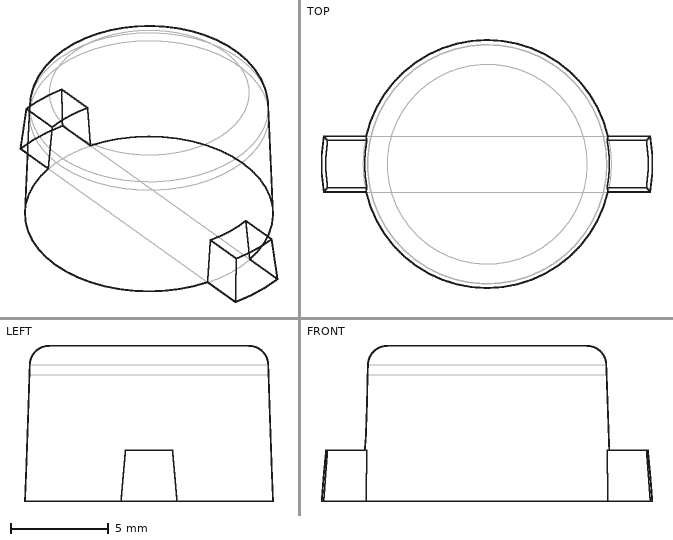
import cadquery as cq
import math

height = 8.0
base_radius = 6.385
body_draft = 2.0
band_bottom = 6.5
rim_radius = 1.0

tab_reach = 8.52
tab_width = 2.88
tab_height = 2.63
tab_draft = 5.0


def wall_radius(z):
    """Radius of the drafted side wall at height z."""
    return base_radius - z * math.tan(math.radians(body_draft))


def make_lower_body():
    """Drafted round body below the seam."""
    profile = (
        cq.Workplane("XZ")
        .lineTo(base_radius, 0)
        .lineTo(wall_radius(band_bottom), band_bottom)
        .lineTo(0, band_bottom)
        .close()
    )
    return profile.revolve(360, (0, 0), (0, 1))


def make_cap():
    """Cap above the seam: a drafted rim band and a rounded top edge."""
    draft = math.radians(body_draft)
    rim_center_z = height - rim_radius
    rim_center_r = wall_radius(rim_center_z) - rim_radius / math.cos(draft)

    def rim_point(angle):
        return (
            rim_center_r + rim_radius * math.cos(angle),
            rim_center_z + rim_radius * math.sin(angle),
        )

    arc_end = math.pi / 2
    arc_middle = (draft + arc_end) / 2
    profile = (
        cq.Workplane("XZ")
        .moveTo(0, band_bottom)
        .lineTo(wall_radius(band_bottom), band_bottom)
        .lineTo(*rim_point(draft))
        .threePointArc(rim_point(arc_middle), rim_point(arc_end))
        .lineTo(0, height)
        .close()
    )
    return profile.revolve(360, (0, 0), (0, 1))


def make_tabs():
    """Drafted bar across the axis whose ends lie on a cone about that axis."""
    bar_length = 4 * tab_reach
    bar = (
        cq.Workplane("XY")
        .rect(bar_length, tab_width)
        .extrude(tab_height, taper=tab_draft)
    )
    end_cone = cq.Workplane("XY").circle(tab_reach).extrude(tab_height, taper=tab_draft)
    return bar.intersect(end_cone)


body = make_lower_body().union(make_cap(), clean=False)
result = body.union(make_tabs(), clean=False)